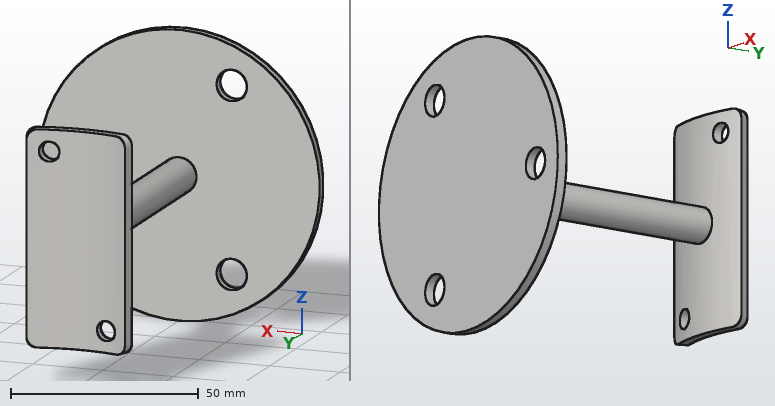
import cadquery as cq
import math

plate_diameter = 80.0
plate_thickness = 3.0
plate_hole_diameter = 8.6
plate_hole_circle_radius = 30.0
plate_hole_count = 3

post_diameter = 10.0

overall_length = 82.4
saddle_thickness = plate_thickness
saddle_outer_radius = 45.5
saddle_width = 30.0
saddle_height = 60.0
saddle_corner_radius = 3.0
saddle_hole_diameter = 5.4
saddle_hole_x = 8.1
saddle_hole_z = 24.0

saddle_inner_radius = saddle_outer_radius - saddle_thickness
saddle_half_angle = math.asin(saddle_width / 2 / saddle_outer_radius)
saddle_axis_y = overall_length + saddle_inner_radius * math.cos(saddle_half_angle)


def cylinder_along_y(diameter, start_y, length):
    return cq.Workplane("XZ", origin=(0, start_y, 0)).circle(diameter / 2).extrude(-length)


def make_plate():
    holes = (
        cq.Workplane("XZ")
        .polarArray(plate_hole_circle_radius, 0, 360, plate_hole_count)
        .circle(plate_hole_diameter / 2)
        .extrude(-plate_thickness)
    )
    return cylinder_along_y(plate_diameter, 0, plate_thickness).cut(holes)


def saddle_point(radius, angle):
    """Point in XY at a signed angle from the middle of the saddle."""
    return radius * math.sin(angle), saddle_axis_y - radius * math.cos(angle)


def saddle_hole(side):
    """Hole cutter along Y: lower hole at -X (side -1), upper hole at +X (side 1)."""
    start_y = saddle_axis_y - saddle_outer_radius
    cutter = cylinder_along_y(saddle_hole_diameter, start_y, overall_length - start_y)
    return cutter.translate((side * saddle_hole_x, 0, side * saddle_hole_z))


def make_saddle():
    saddle = (
        cq.Workplane("XY", origin=(0, 0, -saddle_height / 2))
        .moveTo(*saddle_point(saddle_outer_radius, -saddle_half_angle))
        .threePointArc(
            saddle_point(saddle_outer_radius, 0),
            saddle_point(saddle_outer_radius, saddle_half_angle),
        )
        .lineTo(*saddle_point(saddle_inner_radius, saddle_half_angle))
        .threePointArc(
            saddle_point(saddle_inner_radius, 0),
            saddle_point(saddle_inner_radius, -saddle_half_angle),
        )
        .close()
        .extrude(saddle_height)
    )
    corner_edges = saddle.edges("%LINE").edges("not |Z")
    saddle = saddle.newObject(corner_edges.vals()).fillet(saddle_corner_radius)
    for side in (-1, 1):
        saddle = saddle.cut(saddle_hole(side))
    return saddle


def make_post():
    post_end_y = saddle_axis_y - saddle_outer_radius + saddle_thickness / 2
    return cylinder_along_y(post_diameter, plate_thickness, post_end_y - plate_thickness)


result = make_plate().union(make_post()).union(make_saddle())